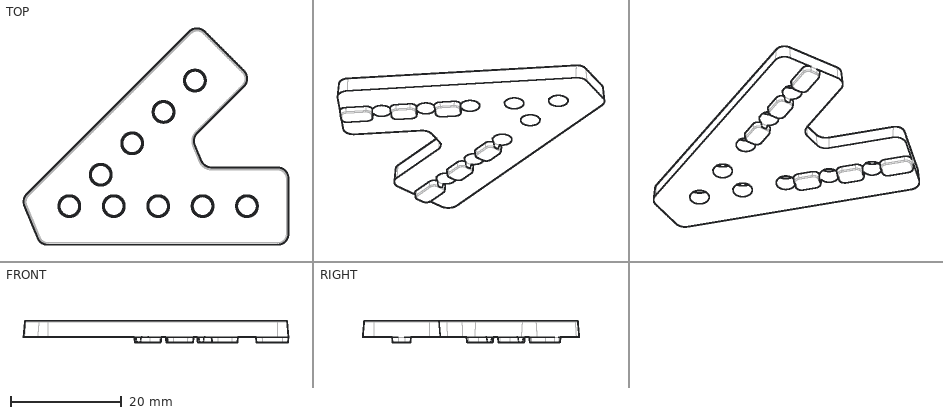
import cadquery as cq
import math

arm_angle = 45.0
plate_thickness = 3.0
arm_half_width = 7.0
end_margin = 7.5
web_reach = 25.1
corner_radius = 2.0
draft_angle = 5.0
edge_round = 0.2

hole_pitch = 8.0
holes_per_arm = 5
hole_top_radius = 2.0

key_height = 1.0
key_width = 3.45
key_corner_radius = 1.1
key_end_gap = 1.6
first_key_gap = 2

draft_slope = math.tan(math.radians(draft_angle))
hole_bottom_radius = hole_top_radius - plate_thickness * draft_slope
last_hole = hole_pitch * (holes_per_arm - 1)
key_length = hole_pitch - 2 * key_end_gap
arm_length = last_hole + end_margin
half_angle = arm_angle / 2


def turned(along, across, angle):
    """Point given along and across (to the left of) a direction at the angle."""
    a = math.radians(angle)
    return (
        along * math.cos(a) - across * math.sin(a),
        along * math.sin(a) + across * math.cos(a),
    )


def bisector_crossing(reach, side):
    """Distance along an arm where its long edge meets a line square to the bisector."""
    a = math.radians(half_angle)
    return (reach - side * arm_half_width * math.sin(a)) / math.cos(a)


def make_plate():
    outer_start = bisector_crossing(-end_margin, -1)
    inner_start = bisector_crossing(web_reach, 1)
    outline = [
        turned(outer_start, -arm_half_width, 0),
        turned(arm_length, -arm_half_width, 0),
        turned(arm_length, arm_half_width, 0),
        turned(inner_start, arm_half_width, 0),
        turned(inner_start, -arm_half_width, arm_angle),
        turned(arm_length, -arm_half_width, arm_angle),
        turned(arm_length, arm_half_width, arm_angle),
        turned(outer_start, arm_half_width, arm_angle),
    ]
    sharp = cq.Workplane("XY").polyline(outline).close().extrude(plate_thickness)
    rounded = sharp.edges("|Z").fillet(corner_radius)
    profile = rounded.faces("<Z").wires()
    drafted = profile.toPending().extrude(plate_thickness, taper=draft_angle, combine=False)
    return drafted.faces(">Z").edges().fillet(edge_round)


def make_hole(distance, angle):
    """Cutter tapered through the plate, then straight down to trim the key ends beside it."""
    x, y = turned(distance, 0, angle)
    tapered = cq.Solid.makeCone(hole_bottom_radius, hole_top_radius, plate_thickness, pnt=cq.Vector(x, y, 0))
    straight = cq.Solid.makeCylinder(hole_bottom_radius, key_height, pnt=cq.Vector(x, y, -key_height))
    return cq.Workplane(tapered).union(cq.Workplane(straight))


def make_key(start, end, angle):
    """Rounded pad spanning start to end along an arm, tapering downward."""
    key = (
        cq.Workplane("XY")
        .rect(end - start, key_width)
        .extrude(-key_height, taper=draft_angle)
        .edges("not(#Z)")
        .fillet(key_corner_radius)
        .faces("<Z")
        .edges()
        .fillet(edge_round)
    )
    return key.translate(((start + end) / 2, 0, 0)).rotate((0, 0, 0), (0, 0, 1), angle)


result = make_plate()

for angle in (0, arm_angle):
    for number in range(first_key_gap, holes_per_arm):
        key_start = number * hole_pitch + key_end_gap
        beyond_last_hole = number == holes_per_arm - 1
        key_end = arm_length if beyond_last_hole else key_start + key_length
        result = result.union(make_key(key_start, key_end, angle))

for angle in (0, arm_angle):
    for number in range(holes_per_arm):
        result = result.cut(make_hole(number * hole_pitch, angle))